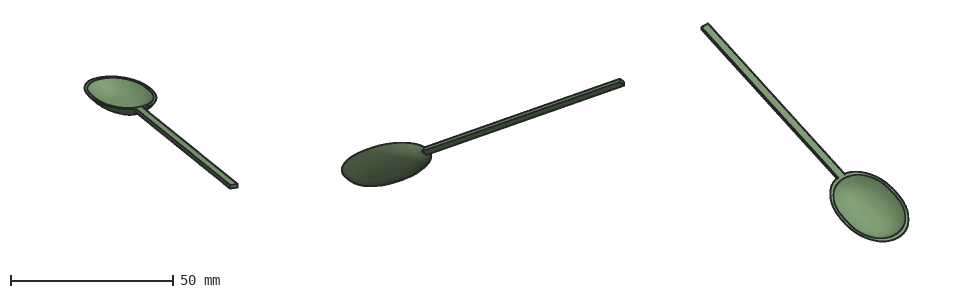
import cadquery as cq
import math

RIM_HALF_LENGTH = 15.0
RIM_HALF_WIDTH = 10.0
BOWL_DEPTH = 4.2
WALL_REACH = 7.9

HOLLOW_HALF_LENGTH = 13.5
HOLLOW_HALF_WIDTH = 9.05
HOLLOW_DEPTH = 3.45
HOLLOW_REACH = 7.6

TIP_ANGLE = math.radians(43.0)
HALF_TURN = 180.0
TIP_WALL_SWEEP = HALF_TURN - 2 * math.degrees(TIP_ANGLE)

HANDLE_WIDTH = 2.5
HANDLE_THICKNESS = 1.2
HANDLE_END_X = 87.0


def floor_flank(tip_x, half_width, z):
    """Upper flank of the almond-shaped floor, running from the -X tip to the +X tip."""
    ends_and_middle = [
        cq.Vector(-tip_x, 0, z),
        cq.Vector(0, half_width, z),
        cq.Vector(tip_x, 0, z),
    ]
    start_direction = cq.Vector(math.cos(TIP_ANGLE), math.sin(TIP_ANGLE), 0)
    end_direction = cq.Vector(math.cos(TIP_ANGLE), -math.sin(TIP_ANGLE), 0)
    return cq.Edge.makeSpline(ends_and_middle, tangents=[start_direction, end_direction])


def wall_section(plane, reach, depth):
    """Half profile in a vertical plane: an arc leaves the floor level and climbs to the rim."""
    radius = (reach**2 + depth**2) / (2 * depth)
    half_sweep = math.asin(reach / radius) / 2
    middle = (radius * math.sin(half_sweep), radius * (1 - math.cos(half_sweep)) - depth)
    return (
        cq.Workplane(plane)
        .moveTo(0, 0)
        .lineTo(0, -depth)
        .threePointArc(middle, (reach, 0))
        .close()
    )


def bowl_body(half_length, half_width, reach, depth):
    """Solid bowl: an almond-shaped core, a wall swept along each flank and turned about each tip."""
    tip_x = half_length - reach
    flank = floor_flank(tip_x, half_width - reach, -depth)
    far_flank = flank.rotate(cq.Vector(0, 0, 0), cq.Vector(0, 0, 1), HALF_TURN)

    floor = cq.Face.makeFromWires(cq.Wire.assembleEdges([flank, far_flank]))
    core = cq.Workplane(cq.Solid.extrudeLinear(floor, cq.Vector(0, 0, depth)))

    flank_normal = cq.Vector(-math.sin(TIP_ANGLE), math.cos(TIP_ANGLE), 0)
    section_plane = cq.Plane(
        origin=(-tip_x, 0, 0),
        xDir=flank_normal,
        normal=flank_normal.cross(cq.Vector(0, 0, 1)),
    )
    side_wall = wall_section(section_plane, reach, depth).sweep(cq.Workplane(flank))
    tip_wall = wall_section(section_plane, reach, depth).revolve(TIP_WALL_SWEEP, (0, 0), (0, 1))

    body = core
    for turn in (0, HALF_TURN):
        for wall in (side_wall, tip_wall):
            body = body.union(wall.rotate((0, 0, 0), (0, 0, 1), turn))
    return body


def handle():
    """Straight bar from the middle of the bowl to the free end."""
    return (
        cq.Workplane("XY")
        .box(HANDLE_END_X, HANDLE_WIDTH, HANDLE_THICKNESS, centered=(False, True, False))
        .translate((0, 0, -HANDLE_THICKNESS))
    )


bowl = bowl_body(RIM_HALF_LENGTH, RIM_HALF_WIDTH, WALL_REACH, BOWL_DEPTH)
hollow = bowl_body(HOLLOW_HALF_LENGTH, HOLLOW_HALF_WIDTH, HOLLOW_REACH, HOLLOW_DEPTH)

result = bowl.union(handle()).cut(hollow)